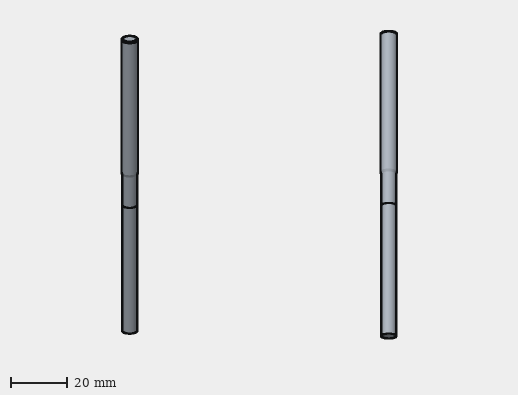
import cadquery as cq
import math

total_length = 115.0
shank_diameter = 6.0
drill_diameter = 5.4
end_chamfer = 0.5
shank_length = 52.1
taper_length = 1.0
neck_length = 11.7
point_angle = 140.0

shank_radius = shank_diameter / 2
drill_radius = drill_diameter / 2
point_height = drill_radius / math.tan(math.radians(point_angle / 2))
taper_top_z = total_length - shank_length
taper_bottom_z = taper_top_z - taper_length
joint_z = taper_bottom_z - neck_length


def revolve_about_z(plane, profile):
    """Turn a closed (radius, z) profile, drawn on a plane through Z, into a solid."""
    return cq.Workplane(plane).polyline(profile).close().revolve(360, (0, 0), (0, 1))


def make_holder():
    """Shank with a chamfered top end, tapering down to a neck."""
    profile = [
        (0, joint_z),
        (-drill_radius, joint_z),
        (-drill_radius, taper_bottom_z),
        (-shank_radius, taper_top_z),
        (-shank_radius, total_length - end_chamfer),
        (-shank_radius + end_chamfer, total_length),
        (0, total_length),
    ]
    return revolve_about_z("YZ", profile)


def make_drill():
    """Plain drill body with a conical point, butted against the neck."""
    profile = [
        (0, 0),
        (-drill_radius, point_height),
        (-drill_radius, joint_z),
        (0, joint_z),
    ]
    return revolve_about_z("XZ", profile)


holder = make_holder()
drill = make_drill()

result = cq.Compound.makeCompound([holder.val(), drill.val()])